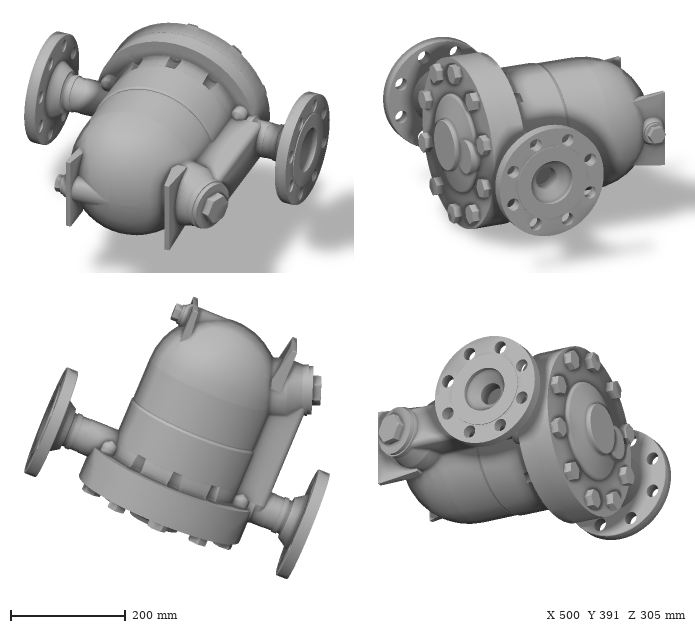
import cadquery as cq
import math


UPPER_RADIUS = 119.2
LOWER_RADIUS = 117.0
NECK_RADIUS = 121.0
NECK_FILLET = 4.0
FLANGE_BACK_Y = 7.0
NECK_END_Y = -17.0
SEAM_TOP_Y = -90.5
SEAM_BOTTOM_Y = -96.5
SEAM_LIP = 4.0
SEAM_GROOVE_DEPTH = 1.0
DOME_START_Y = -171.0

COVER_RADIUS = 305.0 / 2
COVER_FACE_Y = 70.0
COVER_JOINT_Y = 38.5
JOINT_STEP = 0.3
CROWN_FOOT_RADIUS = 88.5
CROWN_EDGE_RADIUS = 84.0
CROWN_EDGE_Y = 77.0
CROWN_EDGE_FILLET = 6.5
CROWN_TOP_Y = 88.0
CAP_RADIUS = 90.0 / 2
CAP_FACE_Y = 96.5
CAP_STEP = 5.5
CAP_FILLET = 3.0
CAP_CHAMFER_WIDTH = 1.0
CAP_CHAMFER_HEIGHT = 1.5
SIDE_BOSS_RADIUS = 60.0 / 2
SIDE_BOSS_X = -65.7
SIDE_BOSS_FACE_Y = 88.0
FLAT_DRAFT = 3.2

BOLT_COUNT = 10
BOLT_CIRCLE_RADIUS = 130.5
BOLT_FIRST_ANGLE = 18.0
BOLT_HEAD_FLATS = 30.0
BOLT_HEAD_HEIGHT = 13.5
HEAD_CHAMFER = 1.2
HEX_TURN = 180.0 / 6
SEAT_DIAMETER = 21.0
SEAT_DEPTH = 0.5
RECESS_CENTRE_RADIUS = 123.0
RECESS_MOUTH_RADIUS = 12.0
RECESS_LIP = 1.0
RECESS_LIP_HEIGHT = 3.0
RECESS_END_RADIUS = 10.5
RECESS_END_Y = -20.5
NUT_RADIUS = 13.6
NUT_CYLINDER_END_Y = -3.0
NUT_SHOULDER_RADIUS = 12.9
NUT_SHOULDER_Y = -7.0
NUT_DOME_RADIUS = 22.2 / 2
NUT_DOME_Y = -10.5
NUT_END_Y = -16.0
NUT_TIP_RADIUS = 1.7

STUB_RADIUS = 31.8
STUB_START = 74.5
PIPE_RADIUS = 62.0 / 2
BODY_OFFSET = 5.0
FACE_DISTANCE = 250.0
FLANGE_RADIUS = 200.0 / 2
FLANGE_THICKNESS = 20.5
FLANGE_CHAMFER = 1.0
RAISED_RADIUS = 132.0 / 2
RAISED_HEIGHT = 1.5
HUB_LARGE_RADIUS = 52.0
HUB_SMALL_RADIUS = 38.4
HUB_LENGTH = 20.5
HUB_ROOT = 2.5
BEAD_RADIUS = 33.0
BEAD_START = 50.0
BEAD_LENGTH = 8.0
HOLE_COUNT = 8
HOLE_DIAMETER = 23.0
HOLE_CIRCLE_RADIUS = 80.0
BORE_RADIUS = 80.0 / 2
BORE_DEPTH = 9.5
THROAT_RADIUS = 40.0 / 2
CONE_END_DEPTH = 24.0
THROAT_DEPTH = 50.0

FLARE_START_X = 140.0
FLARE_END_X = 157.0
FLARE_FILLET = 6.0

CHANNEL_OUTER_X = 169.0
CHANNEL_HALF_WIDTH = 37.0
CHANNEL_TAPER_Y = -8.0
CHANNEL_TOP_Y = 4.0
CHANNEL_BOTTOM_Y = -200.0
CHANNEL_EDGE_RADIUS = 9.5
ROOT_FILLET = 5.5

PLUG_FACE_X = 168.3
PLUG_FACE_Y = -227.0
PLUG_TILT = 20.0
HOUSING_RADIUS = 55.0
HOUSING_LENGTH = 120.0
HOUSING_CONE_START = 45.0
HOUSING_CONE_END = 19.0
HOUSING_RIM_RADIUS = 90.0 / 2
GASKET_RADIUS = 85.0 / 2
GASKET_THICKNESS = 8.0
PLUG_HEAD_FLATS = 46.0
PLUG_HEAD_HEIGHT = 15.0

DRAIN_Y = -264.5
DRAIN_RADIUS = 23.4
DRAIN_MOUTH_RADIUS = 40.0 / 2
DRAIN_ROOT_RADIUS = 25.0
DRAIN_CONE_X = -86.5
DRAIN_MOUTH_X = -93.5
DRAIN_GASKET_RADIUS = 36.0 / 2
DRAIN_GASKET_X = -98.5
DRAIN_HEAD_X = -110.5
DRAIN_HEAD_FLATS = 27.0

FOOT_BOTTOM_Y = -291.0
FOOT_BOTTOM_HALF_WIDTH = 68.5
FOOT_TOP_HALF_WIDTH = 59.5
FOOT_EDGE = 9.0
FOOT_FILLET = 1.5
LEFT_FOOT_X = -83.7
LEFT_FOOT_TOP_Y = -228.0
LEFT_FOOT_SHOULDER_Y = -246.0
LEFT_FOOT_SHOULDER = 13.5
LEFT_FOOT_TOP = 4.0
RIGHT_FOOT_X = 113.4
RIGHT_FOOT_TOP_Y = -212.0
RIGHT_FOOT_SHOULDER_Y = -227.0
RIGHT_FOOT_SHOULDER = 22.0
RIGHT_FOOT_TOP = 17.5


def turned_about_y(profile):
    """Revolve a closed (radius, y) sketch about the Y axis."""
    return profile.close().revolve(360, (0, 0, 0), (0, 1, 0))


def y_plane(y):
    """Sketch plane facing -Y, with local axes X and Z."""
    return cq.Workplane("XZ", origin=(0, y, 0))


def hex_head(flats, height, chamfer):
    """Hexagon head standing on XY with a corner on X, its top edge turned to a cone."""
    corner = flats / math.sqrt(3)
    head = cq.Workplane("XY").polygon(6, 2 * corner).extrude(height)
    blank = cq.Workplane("XY").circle(corner).extrude(height)
    return head.intersect(blank.faces(">Z").chamfer(chamfer / 2, chamfer))


def body():
    seam_step_y = SEAM_TOP_Y - SEAM_LIP
    groove_radius = LOWER_RADIUS - SEAM_GROOVE_DEPTH
    neck_radius_at_flange = NECK_RADIUS + NECK_FILLET
    arc_45 = LOWER_RADIUS * math.sqrt(0.5)
    profile = (
        cq.Workplane("XY")
        .moveTo(0, COVER_JOINT_Y)
        .lineTo(neck_radius_at_flange, COVER_JOINT_Y)
        .lineTo(neck_radius_at_flange, FLANGE_BACK_Y)
        .radiusArc((NECK_RADIUS, FLANGE_BACK_Y - NECK_FILLET), -NECK_FILLET)
        .lineTo(UPPER_RADIUS, NECK_END_Y)
        .lineTo(UPPER_RADIUS, SEAM_TOP_Y)
        .lineTo(LOWER_RADIUS, seam_step_y)
        .lineTo(groove_radius, seam_step_y)
        .lineTo(groove_radius, SEAM_BOTTOM_Y)
        .lineTo(LOWER_RADIUS, SEAM_BOTTOM_Y)
        .lineTo(LOWER_RADIUS, DOME_START_Y)
        .threePointArc((arc_45, DOME_START_Y - arc_45), (0, DOME_START_Y - LOWER_RADIUS))
    )
    return turned_about_y(profile)


def body_flange():
    """Lower half of the bolted flange, with a leaning flat on each pipe side."""
    height = COVER_JOINT_Y - FLANGE_BACK_Y
    disc = y_plane(COVER_JOINT_Y).circle(COVER_RADIUS - JOINT_STEP).extrude(height)
    bottom_half_width = COVER_RADIUS - FLAT_DRAFT
    envelope = (
        cq.Workplane("XY")
        .moveTo(-COVER_RADIUS, COVER_JOINT_Y)
        .lineTo(COVER_RADIUS, COVER_JOINT_Y)
        .lineTo(bottom_half_width, FLANGE_BACK_Y)
        .lineTo(-bottom_half_width, FLANGE_BACK_Y)
        .close()
        .extrude(COVER_RADIUS, both=True)
    )
    return disc.intersect(envelope)


def cover():
    cap_root_y = CAP_FACE_Y - CAP_STEP
    profile = (
        cq.Workplane("XY")
        .moveTo(0, COVER_JOINT_Y)
        .lineTo(COVER_RADIUS, COVER_JOINT_Y)
        .lineTo(COVER_RADIUS, COVER_FACE_Y)
        .lineTo(CROWN_FOOT_RADIUS, COVER_FACE_Y)
        .radiusArc((CROWN_EDGE_RADIUS, CROWN_EDGE_Y), -CROWN_EDGE_FILLET)
        .lineTo(CAP_RADIUS + CAP_FILLET, CROWN_TOP_Y)
        .radiusArc((CAP_RADIUS, cap_root_y), CAP_FILLET)
        .lineTo(CAP_RADIUS, CAP_FACE_Y - CAP_CHAMFER_HEIGHT)
        .lineTo(CAP_RADIUS - CAP_CHAMFER_WIDTH, CAP_FACE_Y)
        .lineTo(0, CAP_FACE_Y)
    )
    side_boss = (
        y_plane(SIDE_BOSS_FACE_Y)
        .center(SIDE_BOSS_X, 0)
        .circle(SIDE_BOSS_RADIUS)
        .extrude(SIDE_BOSS_FACE_Y - COVER_FACE_Y)
    )
    return turned_about_y(profile).union(side_boss)


def bolt_angles():
    return [BOLT_FIRST_ANGLE + 360.0 / BOLT_COUNT * i for i in range(BOLT_COUNT)]


def has_cap_nut(angle):
    """The four bolts beside the pipe carry domed nuts."""
    return abs(math.cos(math.radians(angle))) > math.cos(math.radians(BOLT_FIRST_ANGLE + 1))


def around_y(shape, angle):
    """Carry a shape made on the +X side to the given angle from +X towards +Z."""
    return shape.rotate((0, 0, 0), (0, 1, 0), -angle)


def bolt_head():
    """Bolt head on the cover, one flat facing outwards."""
    return (
        hex_head(BOLT_HEAD_FLATS, BOLT_HEAD_HEIGHT, HEAD_CHAMFER)
        .rotate((0, 0, 0), (0, 0, 1), HEX_TURN)
        .rotate((0, 0, 0), (1, 0, 0), -90)
        .translate((BOLT_CIRCLE_RADIUS, COVER_FACE_Y, 0))
    )


def cap_nut():
    profile = (
        cq.Workplane("XY")
        .moveTo(0, FLANGE_BACK_Y)
        .lineTo(NUT_RADIUS, FLANGE_BACK_Y)
        .lineTo(NUT_RADIUS, NUT_CYLINDER_END_Y)
        .threePointArc((NUT_SHOULDER_RADIUS, NUT_SHOULDER_Y), (NUT_DOME_RADIUS, NUT_DOME_Y))
        .lineTo(NUT_TIP_RADIUS, NUT_END_Y)
        .lineTo(0, NUT_END_Y)
    )
    return turned_about_y(profile).translate((BOLT_CIRCLE_RADIUS, 0, 0))


def bolt_recess():
    """Tapered scoop in the neck plus the shallow round seat in the flange."""
    profile = (
        cq.Workplane("XY")
        .moveTo(0, FLANGE_BACK_Y)
        .lineTo(RECESS_MOUTH_RADIUS - RECESS_LIP, FLANGE_BACK_Y)
        .lineTo(RECESS_MOUTH_RADIUS, FLANGE_BACK_Y - RECESS_LIP_HEIGHT)
        .lineTo(RECESS_END_RADIUS, RECESS_END_Y)
        .lineTo(0, RECESS_END_Y)
    )
    scoop = turned_about_y(profile).translate((RECESS_CENTRE_RADIUS, 0, 0))
    seat = (
        y_plane(FLANGE_BACK_Y + SEAT_DEPTH)
        .center(BOLT_CIRCLE_RADIUS, 0)
        .circle(SEAT_DIAMETER / 2)
        .extrude(SEAT_DEPTH)
    )
    return scoop.union(seat)


def turned_about_x(points):
    """Revolve a closed (x, radius) outline about the X axis."""
    return cq.Workplane("XY").polyline(points).close().revolve(360, (0, 0, 0), (1, 0, 0))


def pipe_end():
    """Solid pipe and flange running from X = 0 at the raised face to the body in +X."""
    back = RAISED_HEIGHT + FLANGE_THICKNESS
    hub_end = back + HUB_LENGTH
    bead_end = BEAD_START + BEAD_LENGTH
    return turned_about_x([
        (0, 0),
        (0, RAISED_RADIUS),
        (RAISED_HEIGHT, RAISED_RADIUS),
        (RAISED_HEIGHT, FLANGE_RADIUS),
        (back - FLANGE_CHAMFER, FLANGE_RADIUS),
        (back, FLANGE_RADIUS - FLANGE_CHAMFER),
        (back, HUB_LARGE_RADIUS),
        (hub_end, HUB_SMALL_RADIUS),
        (hub_end, PIPE_RADIUS + HUB_ROOT),
        (hub_end + HUB_ROOT, PIPE_RADIUS),
        (BEAD_START, PIPE_RADIUS),
        (BEAD_START, BEAD_RADIUS),
        (bead_end, BEAD_RADIUS),
        (bead_end, PIPE_RADIUS),
        (STUB_START, PIPE_RADIUS),
        (STUB_START, STUB_RADIUS),
        (FACE_DISTANCE - BODY_OFFSET, STUB_RADIUS),
        (FACE_DISTANCE - BODY_OFFSET, 0),
    ])


def pipe_end_cuts():
    """Stepped blind bore and the flange bolt holes."""
    bore = turned_about_x([
        (0, 0),
        (0, BORE_RADIUS),
        (BORE_DEPTH, BORE_RADIUS),
        (CONE_END_DEPTH, THROAT_RADIUS),
        (THROAT_DEPTH, THROAT_RADIUS),
        (THROAT_DEPTH, 0),
    ])
    holes = (
        cq.Workplane("YZ")
        .polarArray(HOLE_CIRCLE_RADIUS, 180.0 / HOLE_COUNT, 360, HOLE_COUNT)
        .circle(HOLE_DIAMETER / 2)
        .extrude(RAISED_HEIGHT + FLANGE_THICKNESS)
    )
    return bore.union(holes)


def at_inlet(shape):
    return shape.translate((BODY_OFFSET - FACE_DISTANCE, 0, 0))


def at_outlet(shape):
    return shape.mirror("YZ").translate((BODY_OFFSET + FACE_DISTANCE, 0, 0))


def side_channel():
    block = (
        cq.Workplane("YZ")
        .moveTo(CHANNEL_BOTTOM_Y, -CHANNEL_HALF_WIDTH)
        .lineTo(CHANNEL_TAPER_Y, -CHANNEL_HALF_WIDTH)
        .lineTo(CHANNEL_TOP_Y, -STUB_RADIUS)
        .lineTo(CHANNEL_TOP_Y, STUB_RADIUS)
        .lineTo(CHANNEL_TAPER_Y, CHANNEL_HALF_WIDTH)
        .lineTo(CHANNEL_BOTTOM_Y, CHANNEL_HALF_WIDTH)
        .close()
        .extrude(CHANNEL_OUTER_X)
    )
    return block.faces(">X").edges("not |Z").fillet(CHANNEL_EDGE_RADIUS)


def outlet_flare():
    """Concave ring widening the outlet stub where it leaves the body flange."""
    root_x = FLARE_END_X - FLARE_FILLET
    return (
        cq.Workplane("XY")
        .moveTo(FLARE_START_X, 0)
        .lineTo(FLARE_START_X, STUB_RADIUS + FLARE_FILLET)
        .lineTo(root_x, STUB_RADIUS + FLARE_FILLET)
        .radiusArc((FLARE_END_X, STUB_RADIUS), -FLARE_FILLET)
        .lineTo(FLARE_END_X, 0)
        .close()
        .revolve(360, (0, 0, 0), (1, 0, 0))
    )


def plug_housing():
    """Tilted housing with gasket and hexagon plug; built along +X, then tilted and placed."""
    housing = turned_about_x([
        (-HOUSING_LENGTH, 0),
        (-HOUSING_LENGTH, HOUSING_RADIUS),
        (-HOUSING_CONE_START, HOUSING_RADIUS),
        (-HOUSING_CONE_END, HOUSING_RIM_RADIUS),
        (-GASKET_THICKNESS, HOUSING_RIM_RADIUS),
        (-GASKET_THICKNESS, GASKET_RADIUS),
        (0, GASKET_RADIUS),
        (0, 0),
    ])
    head = hex_head(PLUG_HEAD_FLATS, PLUG_HEAD_HEIGHT, 2 * HEAD_CHAMFER)
    head = head.rotate((0, 0, 0), (0, 0, 1), HEX_TURN).rotate((0, 0, 0), (0, 1, 0), 90)
    return (
        housing.union(head)
        .rotate((0, 0, 0), (0, 0, 1), -PLUG_TILT)
        .translate((PLUG_FACE_X, PLUG_FACE_Y, 0))
    )


def casting():
    """Body, channel and plug housing with their inner corners rounded."""
    joined = body().union(side_channel()).union(plug_housing())
    root_zone = cq.selectors.BoxSelector(
        (0, FOOT_BOTTOM_Y, -HOUSING_RADIUS),
        (CHANNEL_OUTER_X - CHANNEL_EDGE_RADIUS - 1, SEAM_BOTTOM_Y - 1, HOUSING_RADIUS),
    )
    return joined.edges(root_zone).edges("not %CIRCLE").fillet(ROOT_FILLET)


def drain():
    """Drain boss along X, tangent to the bottom of the dome, with gasket and hexagon plug."""
    boss = turned_about_x([
        (0, 0),
        (0, DRAIN_RADIUS),
        (LEFT_FOOT_X, DRAIN_RADIUS),
        (LEFT_FOOT_X, DRAIN_ROOT_RADIUS),
        (DRAIN_CONE_X, DRAIN_RADIUS),
        (DRAIN_MOUTH_X, DRAIN_MOUTH_RADIUS),
        (DRAIN_MOUTH_X, DRAIN_GASKET_RADIUS),
        (DRAIN_GASKET_X, DRAIN_GASKET_RADIUS),
        (DRAIN_GASKET_X, 0),
    ])
    head = hex_head(DRAIN_HEAD_FLATS, DRAIN_GASKET_X - DRAIN_HEAD_X, HEAD_CHAMFER)
    head = head.rotate((0, 0, 0), (0, 0, 1), HEX_TURN).rotate((0, 0, 0), (0, 1, 0), -90)
    head = head.translate((DRAIN_GASKET_X, 0, 0))
    return boss.union(head).translate((0, DRAIN_Y, 0))


def foot(outer_x, inward, top_y, top, shoulder_y, shoulder):
    """Tapered plate foot; top and shoulder are its thicknesses there.

    inward is the X direction from the outer face towards the body axis.
    """
    side = (
        cq.Workplane("XY")
        .moveTo(outer_x, FOOT_BOTTOM_Y)
        .lineTo(outer_x + inward * FOOT_EDGE, FOOT_BOTTOM_Y)
        .lineTo(outer_x + inward * shoulder, shoulder_y)
        .lineTo(outer_x + inward * top, top_y)
        .lineTo(outer_x, top_y)
        .close()
        .extrude(FOOT_BOTTOM_HALF_WIDTH, both=True)
    )
    front = (
        cq.Workplane("YZ")
        .moveTo(FOOT_BOTTOM_Y, -FOOT_BOTTOM_HALF_WIDTH)
        .lineTo(FOOT_BOTTOM_Y, FOOT_BOTTOM_HALF_WIDTH)
        .lineTo(top_y, FOOT_TOP_HALF_WIDTH)
        .lineTo(top_y, -FOOT_TOP_HALF_WIDTH)
        .close()
        .extrude(FACE_DISTANCE, both=True)
    )
    return side.intersect(front).faces("<Y").edges().fillet(FOOT_FILLET)


def build():
    part = casting().union(body_flange()).union(outlet_flare()).union(drain())
    for angle in bolt_angles():
        if has_cap_nut(angle):
            part = part.union(around_y(cap_nut(), angle))
        else:
            part = part.cut(around_y(bolt_recess(), angle))
    part = part.union(cover())
    for angle in bolt_angles():
        part = part.union(around_y(bolt_head(), angle))
    left_foot = foot(LEFT_FOOT_X, 1, LEFT_FOOT_TOP_Y, LEFT_FOOT_TOP, LEFT_FOOT_SHOULDER_Y, LEFT_FOOT_SHOULDER)
    right_foot = foot(
        RIGHT_FOOT_X, -1, RIGHT_FOOT_TOP_Y, RIGHT_FOOT_TOP, RIGHT_FOOT_SHOULDER_Y, RIGHT_FOOT_SHOULDER
    )
    part = part.union(left_foot).union(right_foot)
    for place in (at_inlet, at_outlet):
        part = part.union(place(pipe_end())).cut(place(pipe_end_cuts()))
    return part


result = build()